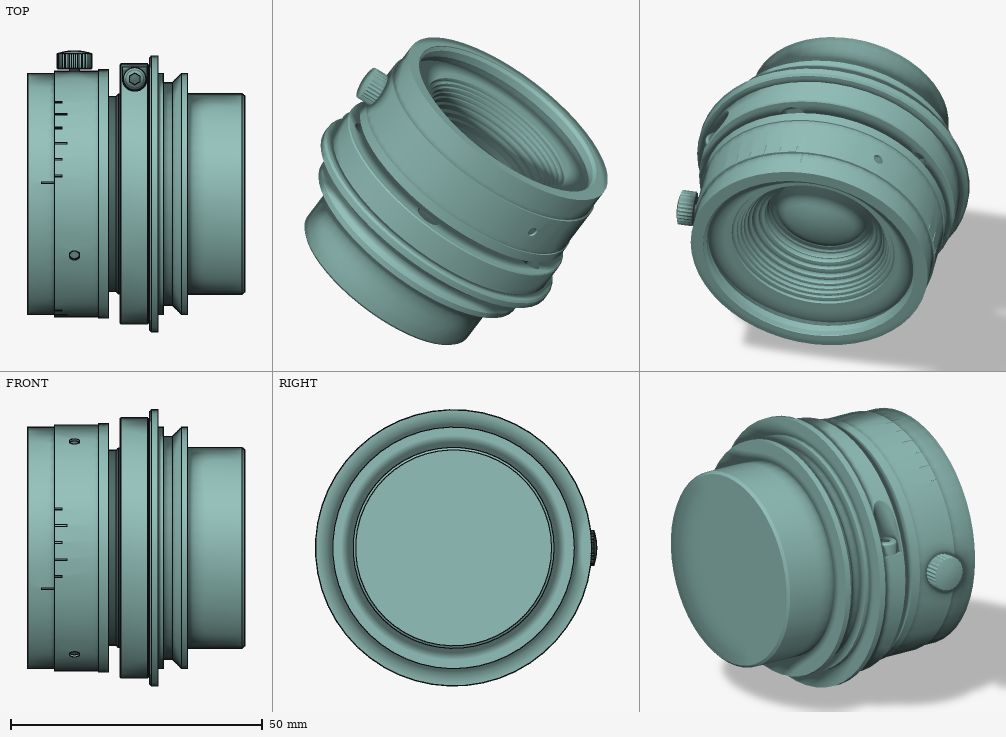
import cadquery as cq
import math


total_length = 43.2
front_ring_radius, front_ring_end = 24.0, 5.3
iris_ring_radius, iris_ring_end = 24.5, 14.1
collar_radius, collar_end = 24.75, 16.1
neck_radius, neck_end = 19.45, 17.6
neck_shoulder_radius, neck_shoulder_end = 19.9, 18.35
clamp_radius, clamp_end = 25.9, 24.0
relief_radius, relief_end = 25.2, 24.25
flange_radius, flange_end = 27.5, 25.9
spacer_radius, spacer_end = 24.0, 27.0
groove_radius, groove_end = 22.2, 28.8
dovetail_radius, dovetail_end = 24.0, 31.8
barrel_radius = 20.0
clamp_chamfer = 0.2
flange_chamfer = 0.4
barrel_chamfer = 0.5

rim_mouth_radius, rim_mouth_land = 21.5, 0.2
thread_radius, thread_end = 20.95, 2.35
undercut_radius = 21.7
baffle_steps = [
    (16.5, 4.15),
    (15.6, 4.8),
    (15.0, 5.45),
    (14.5, 6.3),
    (13.95, 7.1),
    (13.2, 8.25),
    (12.1, 9.35),
    (22.1 / 2, 10.25),
]
throat_depth = 11.3
throat_mouth_radius, throat_radius = 10.85, 21.3 / 2
retainer_radius = 20.5 / 2
retainer_step_depth, retainer_depth = 12.45, 13.05
lens_gap = 0.15
seat_depth = 13.2
lens_radius = 18.5 / 2
lens_apex_depth = 10.2

iris_hole_x = 9.3
iris_hole_angles = (120, 240)
iris_hole_diameter = 2.1
iris_hole_depth = 0.5
stem_diameter = 2.0
knob_radius = 3.5
knob_base, knob_shoulder, knob_tip = 24.9, 27.9, 28.5
knob_chamfer = 0.15
knurl_count = 27
knurl_depth = 0.2

face_hole_count = 5
face_hole_diameter = 5.05
face_hole_circle_radius = 21.8
face_hole_depth = 3.1
clamp_core_radius = 21.0

screw_x, screw_y = 21.3, 22.9
screw_seat_z = 5.75
screw_head_diameter, screw_head_height = 4.5, 2.5
screw_head_round = 0.45
spotface_diameter = 4.9
hex_flats, hex_depth = 2.0, 1.25

tick_width, engraving_depth = 0.35, 0.1
short_tick, long_tick = 1.5, 2.45
tick_pitch_angle = 8.0
index_length = 2.65
stop_ticks = [short_tick, long_tick, short_tick, long_tick, short_tick]
upper_first_tick_angle, upper_index_angle = 41.5, 84.6
side_first_tick_angle, side_index_angle = 161.5, 199.8


def dome_midpoint(rim_radius, sag):
    """Halfway point of a dome's profile arc: distance from its axis and drop below its apex."""
    sphere_radius = (rim_radius**2 + sag**2) / (2 * sag)
    half_angle = math.asin(rim_radius / sphere_radius) / 2
    return sphere_radius * math.sin(half_angle), sphere_radius * (1 - math.cos(half_angle))


def lens_body():
    """Turned body with the stepped front cavity and the domed front lens."""
    dovetail_slope = dovetail_radius - groove_radius
    outline = cq.Workplane("XY").moveTo(lens_apex_depth, 0)

    mid_radius, mid_drop = dome_midpoint(lens_radius, seat_depth - lens_apex_depth)
    outline = outline.threePointArc((lens_apex_depth + mid_drop, mid_radius), (seat_depth, lens_radius))

    outline = (
        outline.lineTo(seat_depth, lens_radius + lens_gap)
        .lineTo(retainer_depth, lens_radius + lens_gap)
        .lineTo(retainer_depth, retainer_radius)
        .lineTo(retainer_step_depth, retainer_radius)
        .lineTo(retainer_step_depth, throat_radius)
        .lineTo(throat_depth, throat_mouth_radius)
    )

    step_end = throat_depth
    for radius, step_start in reversed(baffle_steps):
        outline = outline.lineTo(step_end, radius).lineTo(step_start, radius)
        step_end = step_start
    floor_depth = step_end

    mouth_taper = rim_mouth_radius - thread_radius
    outline = (
        outline.lineTo(floor_depth, undercut_radius)
        .lineTo(thread_end, undercut_radius)
        .lineTo(thread_end, thread_radius)
        .lineTo(rim_mouth_land + mouth_taper, thread_radius)
        .lineTo(rim_mouth_land, rim_mouth_radius)
        .lineTo(0, rim_mouth_radius)
    )

    outline = (
        outline.lineTo(0, front_ring_radius)
        .lineTo(front_ring_end, front_ring_radius)
        .lineTo(front_ring_end, iris_ring_radius)
        .lineTo(iris_ring_end, iris_ring_radius)
        .lineTo(iris_ring_end, collar_radius)
        .lineTo(collar_end, collar_radius)
        .lineTo(collar_end, neck_radius)
        .lineTo(neck_end, neck_radius)
        .lineTo(neck_end + neck_shoulder_radius - neck_radius, neck_shoulder_radius)
        .lineTo(neck_shoulder_end, neck_shoulder_radius)
        .lineTo(neck_shoulder_end, clamp_radius - clamp_chamfer)
        .lineTo(neck_shoulder_end + clamp_chamfer, clamp_radius)
        .lineTo(clamp_end - clamp_chamfer, clamp_radius)
        .lineTo(clamp_end, clamp_radius - clamp_chamfer)
        .lineTo(clamp_end, relief_radius)
        .lineTo(relief_end, relief_radius)
        .lineTo(relief_end, flange_radius - flange_chamfer)
        .lineTo(relief_end + flange_chamfer, flange_radius)
        .lineTo(flange_end, flange_radius)
        .lineTo(flange_end, spacer_radius)
        .lineTo(spacer_end, spacer_radius)
        .lineTo(spacer_end, groove_radius)
        .lineTo(groove_end, groove_radius)
        .lineTo(groove_end + dovetail_slope, dovetail_radius)
        .lineTo(dovetail_end, dovetail_radius)
        .lineTo(dovetail_end, barrel_radius)
        .lineTo(total_length - barrel_chamfer, barrel_radius)
        .lineTo(total_length, barrel_radius - barrel_chamfer)
        .lineTo(total_length, 0)
        .close()
    )
    return outline.revolve(360, (0, 0, 0), (1, 0, 0))


def around_axis(shape, angle):
    """Turn a shape about the optical axis."""
    return shape.rotate((0, 0, 0), (1, 0, 0), angle)


def iris_hole(angle):
    """Radial hole in the iris ring."""
    bottom = iris_ring_radius - iris_hole_depth
    hole = (
        cq.Workplane("XZ", origin=(iris_hole_x, bottom, 0))
        .circle(iris_hole_diameter / 2)
        .extrude(-2 * iris_hole_depth)
    )
    return around_axis(hole, angle)


def thumb_screw():
    """Knurled thumb screw with a domed top, pointing along +Y."""
    mid_radius, mid_drop = dome_midpoint(knob_radius, knob_tip - knob_shoulder)
    stem_root = iris_ring_radius - iris_hole_depth
    knob = (
        cq.Workplane("XY")
        .moveTo(0, stem_root)
        .lineTo(stem_diameter / 2, stem_root)
        .lineTo(stem_diameter / 2, knob_base)
        .lineTo(knob_radius - knob_chamfer, knob_base)
        .lineTo(knob_radius, knob_base + knob_chamfer)
        .lineTo(knob_radius, knob_shoulder)
        .threePointArc((mid_radius, knob_tip - mid_drop), (0, knob_tip))
        .close()
        .revolve(360, (0, 0, 0), (0, 1, 0))
    )
    teeth = []
    for corner in range(2 * knurl_count):
        radius = knob_radius - knurl_depth * (corner % 2)
        angle = math.pi * corner / knurl_count
        teeth.append((radius * math.cos(angle), radius * math.sin(angle)))
    toothed_bar = (
        cq.Workplane("XZ", origin=(0, knob_tip, 0))
        .polyline(teeth)
        .close()
        .extrude(knob_tip - stem_root)
    )
    knob = knob.intersect(toothed_bar)
    return knob.translate((iris_hole_x, 0, 0))


def face_holes():
    """Blind holes in the clamp ring, bounded inside by its round core."""
    core = (
        cq.Workplane("YZ", origin=(neck_shoulder_end, 0, 0))
        .circle(clamp_core_radius)
        .extrude(face_hole_depth)
    )
    holes = (
        cq.Workplane("YZ", origin=(neck_shoulder_end, 0, 0))
        .polarArray(face_hole_circle_radius, 0, 360, face_hole_count)
        .circle(face_hole_diameter / 2)
        .extrude(face_hole_depth)
    )
    return holes.cut(core)


def screw_spotface():
    """Flat seat for the clamp screw, open to the top and to +Y."""
    height = clamp_radius - screw_seat_z
    reach = clamp_radius - screw_y
    seat = cq.Workplane("XY", origin=(screw_x, screw_y, screw_seat_z))
    pocket = seat.circle(spotface_diameter / 2).extrude(height)
    side_opening = seat.center(0, reach / 2).rect(spotface_diameter, reach).extrude(height)
    return pocket.union(side_opening)


def clamp_screw():
    """Socket-head screw with a rounded top edge, standing on its seat."""
    return (
        cq.Workplane("XY", origin=(screw_x, screw_y, screw_seat_z))
        .circle(screw_head_diameter / 2)
        .extrude(screw_head_height)
        .faces(">Z")
        .edges()
        .fillet(screw_head_round)
        .faces(">Z")
        .workplane()
        .polygon(6, hex_flats, circumscribed=True)
        .cutBlind(-hex_depth)
    )


def engraved_line(start_x, length, surface_radius, angle):
    """Shallow line along X on a cylindrical surface."""
    line = cq.Workplane("XY").box(length, 2 * engraving_depth, tick_width, centered=(False, True, True))
    return around_axis(line.translate((start_x, surface_radius, 0)), angle)


def aperture_scale(first_angle, tick_lengths, index_angle):
    """Row of ticks on the iris ring and the index line on the front ring."""
    marks = [engraved_line(front_ring_end - index_length, index_length, front_ring_radius, index_angle)]
    for number, length in enumerate(tick_lengths):
        angle = first_angle + number * tick_pitch_angle
        marks.append(engraved_line(front_ring_end, length, iris_ring_radius, angle))
    return marks


result = lens_body()
for hole_angle in iris_hole_angles:
    result = result.cut(iris_hole(hole_angle))
result = result.cut(face_holes())
result = result.cut(screw_spotface())
result = result.union(thumb_screw())
result = result.union(clamp_screw())

upper_scale = aperture_scale(upper_first_tick_angle, stop_ticks + [short_tick], upper_index_angle)
side_scale = aperture_scale(side_first_tick_angle, stop_ticks, side_index_angle)
for mark in upper_scale + side_scale:
    result = result.cut(mark)